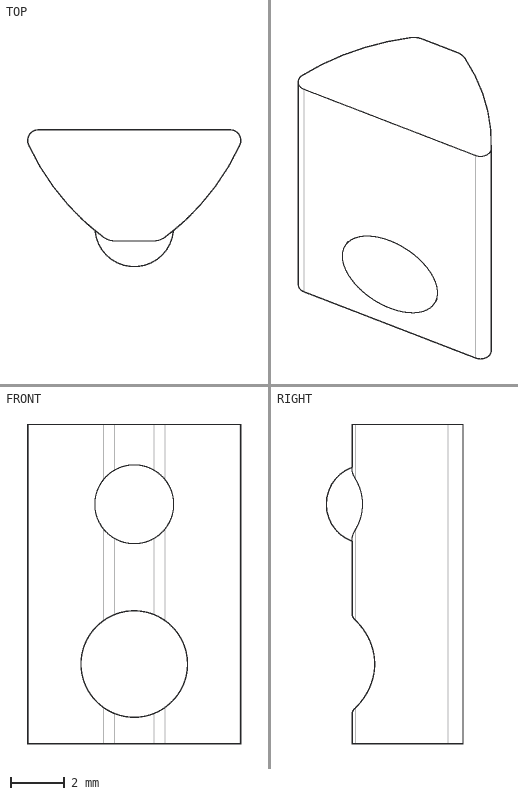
import cadquery as cq

height = 12.0
depth = 4.18
back_half_width = 4.21
front_half_width = 0.96
flank_radius = 9.0
back_corner_radius = 0.41
front_corner_radius = 0.7

ball_diameter = 2.96
overall_depth = 5.15
ball_height = 0.75 * height
ball_y = ball_diameter / 2 - overall_depth

hole_diameter = 4.0
hole_height = 0.25 * height


def make_body():
    body = (
        cq.Workplane("XY")
        .moveTo(-back_half_width, 0)
        .lineTo(back_half_width, 0)
        .radiusArc((front_half_width, -depth), flank_radius)
        .lineTo(-front_half_width, -depth)
        .radiusArc((-back_half_width, 0), flank_radius)
        .close()
        .extrude(height)
    )
    body = body.edges("|Z and >Y").fillet(back_corner_radius)
    margin = 0.12
    front_corners = cq.selectors.BoxSelector(
        (-front_half_width - margin, -depth - margin, 0),
        (front_half_width + margin, -depth + margin, height),
    )
    return body.edges("|Z").edges(front_corners).fillet(front_corner_radius)


def make_ball():
    return cq.Workplane("XY").sphere(ball_diameter / 2).translate((0, ball_y, ball_height))


def make_ball_seat():
    return (
        cq.Workplane("XZ", origin=(0, ball_y, ball_height))
        .circle(ball_diameter / 2)
        .extrude(overall_depth)
    )


def make_hole():
    return cq.Workplane("XZ").center(0, hole_height).circle(hole_diameter / 2).extrude(overall_depth)


result = make_body().cut(make_ball_seat()).union(make_ball()).cut(make_hole())